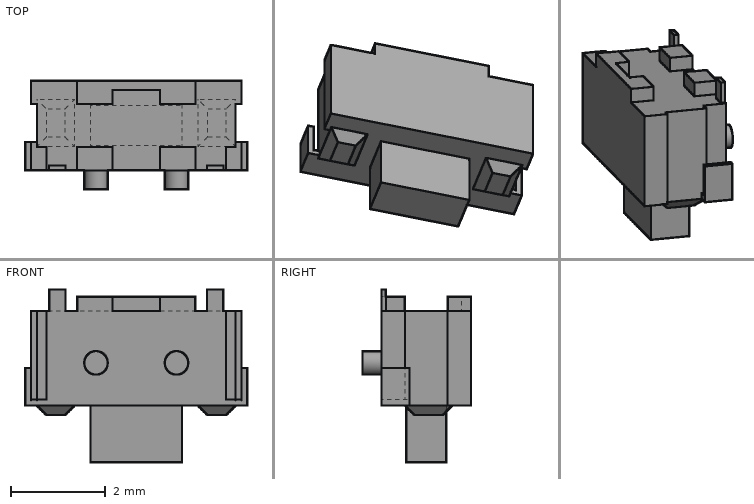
import cadquery as cq


total_width = 4.7
body_width = 4.45
waist_width = 4.2
front_width = 3.8
body_depth = 1.9
body_height = 2.0
end_depth = 0.5

blocks_width = 2.5
block_gap = 1.0
block_height = 0.3
rear_web_depth = 0.2

prong_width = 0.35
prong_thickness = 0.1
prong_offset = 1.67
prong_height = 0.45

clip_thickness = (total_width - body_width) / 2
clip_depth = 0.6
clip_height = 0.8

pin_diameter = 0.5
pin_length = 0.4
pin_z = 0.902
pin_offset = 0.85

foot_width = 0.8
foot_offset = 2 * pin_offset
foot_depth = 1.0
foot_height = 0.2
foot_y = 1.0

button_width = 1.94
button_depth = 0.85
button_length = 1.2

SIDES = (-1, 1)


def box(width, depth, height, x=0.0, y=0.0, z=0.0):
    """Box centred on x, with its front face at y and its underside at z."""
    return cq.Workplane("XY").box(width, depth, height, centered=(True, False, False)).translate((x, y, z))


def make_body():
    """Block with a narrow front, a wider waist and flanges at the rear."""
    flange_y = body_depth - end_depth
    front = box(front_width, body_depth, body_height)
    waist = box(waist_width, body_depth - end_depth, body_height, y=end_depth)
    flanges = box(body_width, end_depth, body_height, y=flange_y)
    return front.union(waist).union(flanges)


def make_top_blocks():
    """Two front blocks, and two rear blocks joined by a thin web."""
    rear_y = body_depth - end_depth
    front = box(blocks_width, end_depth, block_height, z=body_height)
    front = front.cut(box(block_gap, end_depth, block_height, z=body_height))
    rear = box(blocks_width, end_depth, block_height, y=rear_y, z=body_height)
    rear = rear.cut(box(block_gap, end_depth - rear_web_depth, block_height, y=rear_y, z=body_height))
    return front, rear


def make_prong(side):
    return box(prong_width, prong_thickness, prong_height, x=side * prong_offset, z=body_height)


def make_clips():
    """U-shaped strap under the front of the body, with an upright wall at each end."""
    strap = box(total_width, clip_depth, clip_height)
    opening = box(body_width, clip_depth, clip_height, z=clip_thickness)
    return strap.cut(opening)


def make_pin(side):
    pin = cq.Workplane("XZ").circle(pin_diameter / 2).extrude(pin_length)
    return pin.translate((side * pin_offset, 0, pin_z))


def make_foot(side):
    """Foot that narrows downward at 45 degrees on all four sides."""
    foot = (
        cq.Workplane("XY")
        .rect(foot_width, foot_depth)
        .workplane(offset=-foot_height)
        .rect(foot_width - 2 * foot_height, foot_depth - 2 * foot_height)
        .loft(ruled=True)
    )
    return foot.translate((side * foot_offset, foot_y, 0))


def make_housing():
    housing = make_body().union(make_clips())
    for block in make_top_blocks():
        housing = housing.union(block)
    for side in SIDES:
        housing = housing.union(make_prong(side))
        housing = housing.union(make_pin(side))
        housing = housing.union(make_foot(side))
    return housing.clean()


def make_button():
    """Push button centred under the housing, meeting its underside."""
    button_y = (body_depth - button_depth) / 2
    return box(button_width, button_depth, button_length, y=button_y, z=-button_length)


housing = make_housing()
button = make_button()
result = cq.Compound.makeCompound([housing.val(), button.val()])